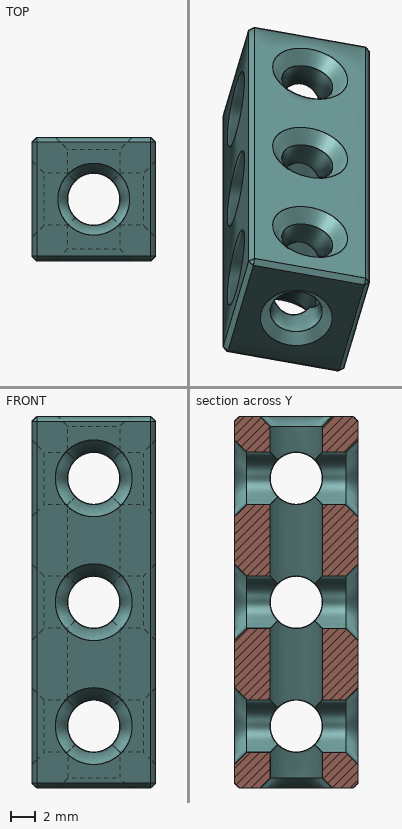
import cadquery as cq

pitch = 10.0
hole_rows = 3
edge_chamfer = 0.4
bore_diameter = 4.2
side_sink_diameter = 6.2
side_sink_depth = 1.0
end_sink_diameter = 5.8
end_sink_depth = 0.8

bar_length = hole_rows * pitch
half_width = pitch / 2
half_length = bar_length / 2
row_heights = [(row - (hole_rows - 1) / 2) * pitch for row in range(hole_rows)]

X_AXIS = cq.Vector(1, 0, 0)
Y_AXIS = cq.Vector(0, 1, 0)
Z_AXIS = cq.Vector(0, 0, 1)


def countersunk_bore(center, axis, half_span, sink_diameter, sink_depth):
    """Through bore along axis, countersunk where it leaves the bar at both ends."""
    bore_radius = bore_diameter / 2
    start = center - axis * half_span
    cutter = cq.Workplane(obj=cq.Solid.makeCylinder(bore_radius, 2 * half_span, start, axis))
    for outward in (axis, axis * -1):
        mouth = center + outward * half_span
        sink = cq.Solid.makeCone(sink_diameter / 2, bore_radius, sink_depth, mouth, outward * -1)
        cutter = cutter.union(cq.Workplane(obj=sink))
    return cutter


def chamfered_bar():
    """Square bar centred on the origin with every outer edge chamfered."""
    return cq.Workplane("XY").box(pitch, pitch, bar_length).edges().chamfer(edge_chamfer)


result = chamfered_bar()

result = result.cut(
    countersunk_bore(cq.Vector(0, 0, 0), Z_AXIS, half_length, end_sink_diameter, end_sink_depth)
)

for height in row_heights:
    for axis in (X_AXIS, Y_AXIS):
        center = cq.Vector(0, 0, height)
        result = result.cut(
            countersunk_bore(center, axis, half_width, side_sink_diameter, side_sink_depth)
        )